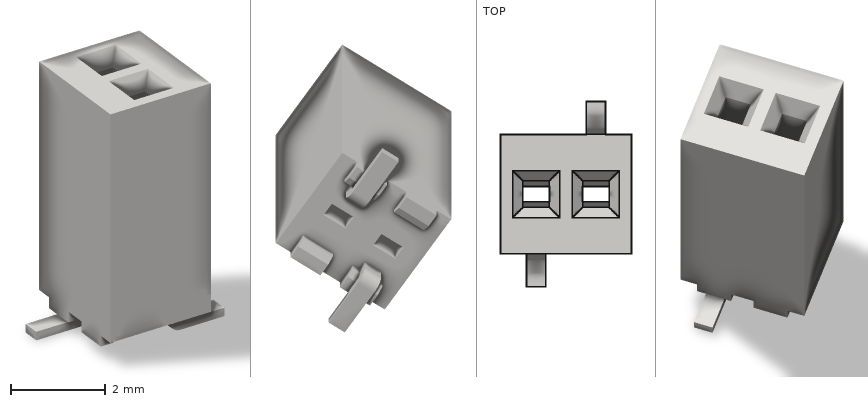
import cadquery as cq
import math

total_height = 6.1
housing_width = 2.79
housing_depth = 2.54
pitch = 1.27
underside_z = 0.57

funnel_mouth = 1.0
well_side = 0.56
funnel_depth = 0.385
well_depth = 3.05
slot_depth_y = 0.32

foot_width = 0.76
foot_height = 0.26
foot_inner_y = 0.79
foot_chamfer_y = 0.175
foot_chamfer_z = 0.105

tail_width = 0.415
tail_thickness = 0.21
tail_span = 3.94
bend_inner_radius = 0.06

position_signs = (-1, 1)
half_depth = housing_depth / 2


def make_socket_cutter(x):
    """Funnel, well and through slot of one socket."""
    funnel = (
        cq.Workplane("XY", origin=(x, 0, total_height))
        .rect(funnel_mouth, funnel_mouth)
        .workplane(offset=-funnel_depth)
        .rect(well_side, well_side)
        .loft(ruled=True)
    )
    well = (
        cq.Workplane("XY", origin=(x, 0, total_height - well_depth))
        .rect(well_side, well_side)
        .extrude(well_depth - funnel_depth)
    )
    slot = (
        cq.Workplane("XY", origin=(x, 0, underside_z))
        .rect(well_side, slot_depth_y)
        .extrude(total_height - well_depth - underside_z)
    )
    return funnel.union(well).union(slot)


def make_foot(x, side):
    """Standoff foot on the given Y side, with its inner lower edge chamfered."""
    foot_bottom_z = underside_z - foot_height
    return (
        cq.Workplane("YZ", origin=(x - foot_width / 2, 0, 0))
        .moveTo(side * half_depth, underside_z)
        .lineTo(side * foot_inner_y, underside_z)
        .lineTo(side * foot_inner_y, foot_bottom_z + foot_chamfer_z)
        .lineTo(side * (foot_inner_y + foot_chamfer_y), foot_bottom_z)
        .lineTo(side * half_depth, foot_bottom_z)
        .close()
        .extrude(foot_width)
    )


def make_housing():
    """Housing block with its sockets and feet."""
    body = (
        cq.Workplane("XY", origin=(0, 0, underside_z))
        .rect(housing_width, housing_depth)
        .extrude(total_height - underside_z)
    )
    for sign in position_signs:
        x = sign * pitch / 2
        body = body.cut(make_socket_cutter(x))
        for side in position_signs:
            body = body.union(make_foot(x, side))
    return body


def make_contact_tail(x, side):
    """L-shaped tail: upright against the underside, bent outward to the base plane."""
    outer_radius = bend_inner_radius + tail_thickness
    outer_face_y = foot_inner_y
    inner_face_y = outer_face_y - tail_thickness
    bend_y = outer_face_y + bend_inner_radius
    tip_y = tail_span / 2
    diagonal = math.sqrt(0.5)
    inner_mid = bend_inner_radius * diagonal
    outer_mid = outer_radius * diagonal
    return (
        cq.Workplane("YZ", origin=(x - tail_width / 2, 0, 0))
        .moveTo(side * inner_face_y, underside_z)
        .lineTo(side * inner_face_y, outer_radius)
        .threePointArc(
            (side * (bend_y - outer_mid), outer_radius - outer_mid),
            (side * bend_y, 0),
        )
        .lineTo(side * tip_y, 0)
        .lineTo(side * tip_y, tail_thickness)
        .lineTo(side * bend_y, tail_thickness)
        .threePointArc(
            (side * (bend_y - inner_mid), outer_radius - inner_mid),
            (side * outer_face_y, outer_radius),
        )
        .lineTo(side * outer_face_y, underside_z)
        .close()
        .extrude(tail_width)
    )


housing = make_housing().solids()

contact_tails = [make_contact_tail(sign * pitch / 2, sign) for sign in position_signs]

result = cq.Compound.makeCompound([housing.val(), *[tail.val() for tail in contact_tails]])